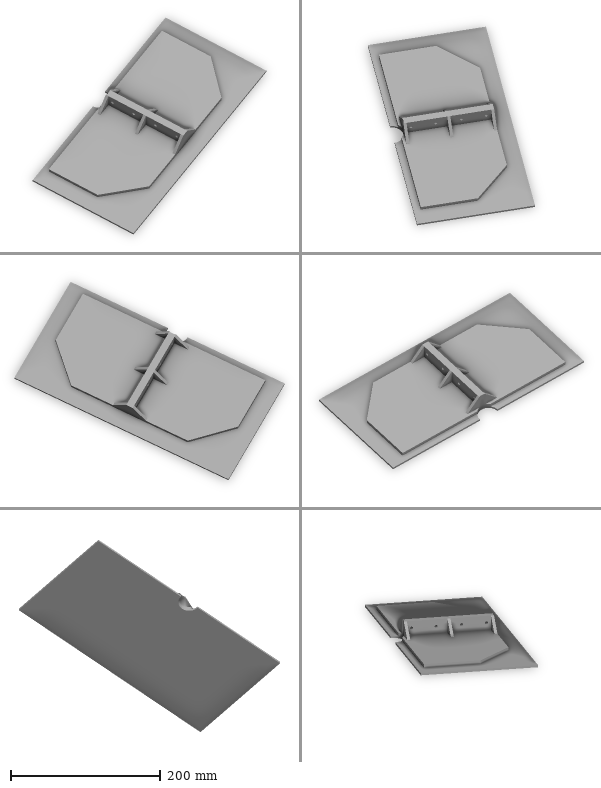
import cadquery as cq

PLATE_WIDTH = 161.5
PLATE_DEPTH = 162.0
PLATE_THICKNESS = 3.0

PAD_LEFT = 10.0
PAD_RIGHT = 138.0
PAD_DEPTH = 138.0
PAD_THICKNESS = 5.0
PAD_CORNER_CUT = 50.0

WALL_LEFT = 14.0
WALL_THICKNESS = 5.0
WALL_HEIGHT = 20.0
RIB_THICKNESS = 4.2
RIB_REACH = WALL_HEIGHT

BOLT_DIAMETER = 4.2
INNER_BOLT_OFFSET = 17.5
OUTER_BOLT_OFFSET = 51.5

NOTCH_RADIUS = 15.0

PAD_TOP = PLATE_THICKNESS + PAD_THICKNESS
TOTAL_HEIGHT = PAD_TOP + WALL_HEIGHT
WALL_LENGTH = PAD_RIGHT - WALL_LEFT
WALL_MIDDLE = (WALL_LEFT + PAD_RIGHT) / 2
BOLT_HEIGHT = PAD_TOP + WALL_HEIGHT / 2
BOLT_OFFSETS = (-OUTER_BOLT_OFFSET, -INNER_BOLT_OFFSET, INNER_BOLT_OFFSET, OUTER_BOLT_OFFSET)
RIB_STARTS = (WALL_LEFT, WALL_MIDDLE - RIB_THICKNESS / 2, PAD_RIGHT - RIB_THICKNESS)


def make_plate():
    return cq.Workplane("XY").box(PLATE_WIDTH, PLATE_DEPTH, PLATE_THICKNESS, centered=False)


def make_pad():
    outline = [
        (PAD_LEFT, 0),
        (PAD_RIGHT, 0),
        (PAD_RIGHT, PAD_DEPTH - PAD_CORNER_CUT),
        (PAD_RIGHT - PAD_CORNER_CUT, PAD_DEPTH),
        (PAD_LEFT, PAD_DEPTH),
    ]
    pad = cq.Workplane("XY").workplane(offset=PLATE_THICKNESS)
    return pad.polyline(outline).close().extrude(PAD_THICKNESS)


def make_wall():
    wall = cq.Workplane("XY").box(WALL_LENGTH, WALL_THICKNESS, WALL_HEIGHT, centered=False)
    return wall.translate((WALL_LEFT, 0, PAD_TOP))


def make_rib(start_x):
    outline = [
        (WALL_THICKNESS, PAD_TOP),
        (WALL_THICKNESS + RIB_REACH, PAD_TOP),
        (WALL_THICKNESS, TOTAL_HEIGHT),
    ]
    rib = cq.Workplane("YZ").workplane(offset=start_x)
    return rib.polyline(outline).close().extrude(RIB_THICKNESS)


def make_bolt_cutters():
    centres = [(WALL_MIDDLE + offset, BOLT_HEIGHT) for offset in BOLT_OFFSETS]
    return cq.Workplane("XZ").pushPoints(centres).circle(BOLT_DIAMETER / 2).extrude(-WALL_THICKNESS)


def make_flanged_half():
    """Half on the +Y side of the joint."""
    half = make_plate().union(make_pad()).union(make_wall())
    for start_x in RIB_STARTS:
        half = half.union(make_rib(start_x))
    notch = cq.Workplane("XY").circle(NOTCH_RADIUS).extrude(TOTAL_HEIGHT)
    return half.cut(notch).cut(make_bolt_cutters())


rear_half = make_flanged_half()
halves = [rear_half, rear_half.mirror("XZ")]

result = cq.Compound.makeCompound([half.val() for half in halves])